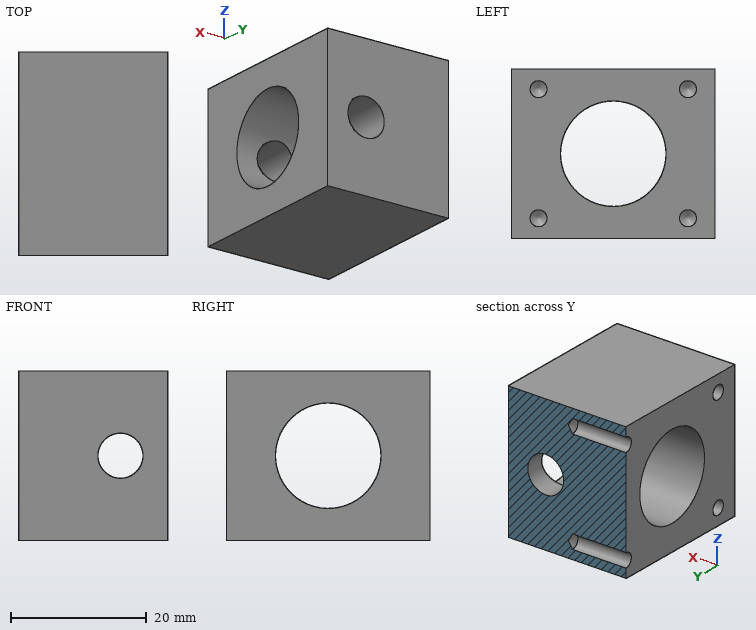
import cadquery as cq
import math

width_x = 22.0
length_y = 30.0
height_z = 25.0

bore_diameter = 15.48

cross_hole_diameter = 6.6
cross_hole_from_left = 15.0

screw_hole_diameter = 2.5
screw_hole_depth = 10.0
screw_spacing_y = 22.0
screw_spacing_z = 19.0
drill_point_angle = 118.0

left_x = -width_x / 2


def drilled_hole(y, z):
    """Blind hole along +X from the -X face, ending in a drill-point cone."""
    radius = screw_hole_diameter / 2
    tip_length = radius / math.tan(math.radians(drill_point_angle / 2))
    profile = (
        cq.Workplane("XY")
        .moveTo(0, 0)
        .lineTo(0, radius)
        .lineTo(screw_hole_depth, radius)
        .lineTo(screw_hole_depth + tip_length, 0)
        .close()
    )
    return profile.revolve(360, (0, 0, 0), (1, 0, 0)).translate((left_x, y, z))


block = cq.Workplane("XY").box(width_x, length_y, height_z)

main_bore = cq.Workplane("YZ").circle(bore_diameter / 2).extrude(width_x, both=True)

cross_hole = (
    cq.Workplane("XZ")
    .center(left_x + cross_hole_from_left, 0)
    .circle(cross_hole_diameter / 2)
    .extrude(length_y, both=True)
)

result = block.cut(main_bore).cut(cross_hole)
for side_y in (-1, 1):
    for side_z in (-1, 1):
        hole = drilled_hole(side_y * screw_spacing_y / 2, side_z * screw_spacing_z / 2)
        result = result.cut(hole)